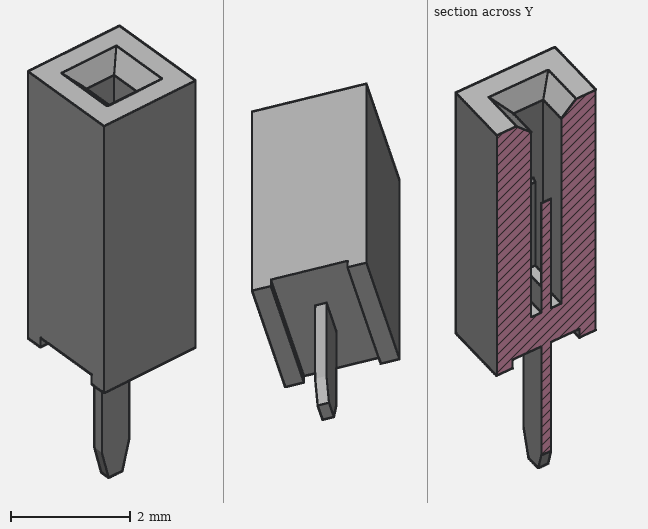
import cadquery as cq

housing_width = 2.0
housing_height = 5.6

channel_width = 1.34
channel_depth = 0.2

mouth_width = 1.2
well_width = 0.6
funnel_depth = (mouth_width - well_width) / 2
well_floor_z = 1.0

contact_thickness = 0.2
contact_width = well_width
tail_length = 2.7
tip_width = 0.3
tip_length = 0.6
fork_root_z = 1.6
prong_height = 2.0
prong_thickness = 0.06


def make_housing():
    block = cq.Workplane("XY").rect(housing_width, housing_width).extrude(housing_height)
    channel = cq.Workplane("XY").rect(channel_width, housing_width).extrude(channel_depth)
    return block.cut(channel)


def make_socket():
    """Void formed by the well and the funnel above it."""
    funnel_floor_z = housing_height - funnel_depth
    well = (
        cq.Workplane("XY", origin=(0, 0, well_floor_z))
        .rect(well_width, well_width)
        .extrude(funnel_floor_z - well_floor_z)
    )
    funnel = (
        cq.Workplane("XY", origin=(0, 0, funnel_floor_z))
        .rect(well_width, well_width)
        .workplane(offset=funnel_depth)
        .rect(mouth_width, mouth_width)
        .loft(ruled=True)
    )
    return well.union(funnel)


def make_contact():
    """Flat blade with a tapered tail tip and two prongs with 45 degree lead-ins."""
    half_width = contact_width / 2
    half_tip = tip_width / 2
    half_gap = half_width - prong_thickness
    shoulder_z = tip_length - tail_length
    prong_top_z = fork_root_z + prong_height
    lead_in_z = prong_top_z - prong_thickness
    outline = [
        (-half_tip, -tail_length),
        (half_tip, -tail_length),
        (half_width, shoulder_z),
        (half_width, prong_top_z),
        (half_gap, lead_in_z),
        (half_gap, fork_root_z),
        (-half_gap, fork_root_z),
        (-half_gap, lead_in_z),
        (-half_width, prong_top_z),
        (-half_width, shoulder_z),
    ]
    return (
        cq.Workplane("YZ")
        .polyline(outline)
        .close()
        .extrude(contact_thickness / 2, both=True)
    )


result = make_housing().cut(make_socket()).union(make_contact())